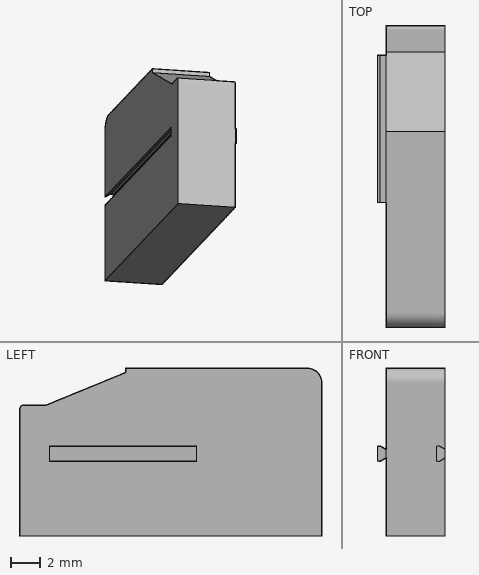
import cadquery as cq

length = 20.5
height = 11.4
thickness = 4.0
front_radius = 0.98

shoulder_height = 8.9
shoulder_length = 1.8
shoulder_radius = 0.29
ramp_end_from_rear = 7.2
ramp_lip = 0.29

dovetail_depth = 0.6
dovetail_height = 5.6
root_half_width = 0.29
widest_half_width = 0.53
tip_half_width = 0.5
tip_bevel_depth = 0.18
rib_length = 10.0
rear_margin = 2.0


def make_body():
    """Side outline extruded across the thickness, with rounded upper corners."""
    ramp_end = length - ramp_end_from_rear
    ramp_start = length - shoulder_length
    body = (
        cq.Workplane("YZ")
        .moveTo(0, 0)
        .lineTo(length, 0)
        .lineTo(length, shoulder_height)
        .lineTo(ramp_start, shoulder_height)
        .lineTo(ramp_end, height - ramp_lip)
        .lineTo(ramp_end, height)
        .lineTo(0, height)
        .close()
        .extrude(thickness)
    )
    body = body.edges("|X and <Y and >Z").fillet(front_radius)
    rear_corner = cq.selectors.NearestToPointSelector((thickness / 2, length, shoulder_height))
    return body.edges(rear_corner).fillet(shoulder_radius)


def make_dovetail(root_x, start_y, end_y):
    """Dovetail bar whose root lies at root_x and whose tip points toward -X."""
    tip_x = root_x - dovetail_depth
    widest_x = tip_x + tip_bevel_depth
    upper = [(root_x, root_half_width), (widest_x, widest_half_width), (tip_x, tip_half_width)]
    lower = [(x, -half_width) for x, half_width in reversed(upper)]
    profile = [(x, dovetail_height + offset) for x, offset in upper + lower]
    return cq.Workplane("XZ", origin=(0, start_y, 0)).polyline(profile).close().extrude(start_y - end_y)


dovetail_end = length - rear_margin
rib = make_dovetail(0, dovetail_end - rib_length, dovetail_end)

groove = make_dovetail(thickness, 0, dovetail_end)

result = make_body().union(rib).cut(groove)